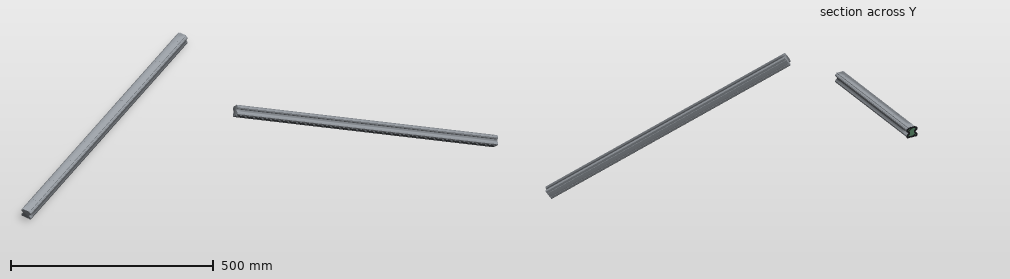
import cadquery as cq

RAIL_WIDTH = 28.0
RAIL_LENGTH = 710.0
RAIL_HEIGHT = 26.0

HALF_WIDTH = RAIL_WIDTH / 2
TOP_HALF_WIDTH = 9.3
NECK_HALF_WIDTH = 9.2
SHOULDER_Z = 24.5
LIP_TOP_Z = 21.2
LIP_BOTTOM_Z = 18.1
NECK_TOP_Z = 14.4
NECK_BOTTOM_Z = 10.2
FOOT_TOP_Z = 5.4
BASE_CHAMFER = 1.5

RACE_SAG = 0.6
RACE_LAND_WIDTH = 1.2
RACE_LAND_HEIGHT = 1.0

GROOVE_WIDTH = 2.0
GROOVE_DEPTH = 1.5
GROOVE_OFFSET = 6.4

SEAT_DIAMETER = 14.0
SEAT_DEPTH = 0.2
SEAT_PITCH = 80.0
SEAT_COUNT = 9


def rail_half():
    """Right half of the rail: the half cross-section extruded along Y, centred on the origin."""
    profile = (
        cq.Workplane("XZ")
        .lineTo(HALF_WIDTH - BASE_CHAMFER, 0)
        .lineTo(HALF_WIDTH, BASE_CHAMFER)
        .lineTo(HALF_WIDTH, FOOT_TOP_Z)
        .lineTo(NECK_HALF_WIDTH, NECK_BOTTOM_Z)
        .lineTo(NECK_HALF_WIDTH, NECK_TOP_Z)
        .lineTo(NECK_HALF_WIDTH + RACE_LAND_WIDTH, NECK_TOP_Z + RACE_LAND_HEIGHT)
        .sagittaArc((HALF_WIDTH - RACE_LAND_WIDTH, LIP_BOTTOM_Z - RACE_LAND_HEIGHT), -RACE_SAG)
        .lineTo(HALF_WIDTH, LIP_BOTTOM_Z)
        .lineTo(HALF_WIDTH, LIP_TOP_Z)
        .lineTo(HALF_WIDTH - RACE_LAND_WIDTH, LIP_TOP_Z + RACE_LAND_HEIGHT)
        .sagittaArc((TOP_HALF_WIDTH + RACE_LAND_WIDTH, SHOULDER_Z - RACE_LAND_HEIGHT), -RACE_SAG)
        .lineTo(TOP_HALF_WIDTH, SHOULDER_Z)
        .lineTo(TOP_HALF_WIDTH, RAIL_HEIGHT)
        .lineTo(0, RAIL_HEIGHT)
        .close()
    )
    return profile.extrude(RAIL_LENGTH / 2, both=True)


def rail_body():
    """The full rail, symmetric about the YZ plane."""
    right_half = rail_half()
    return right_half.union(right_half.mirror("YZ")).clean()


def underside_grooves():
    """Two full-length grooves, mirrored about the centre plane."""
    return (
        cq.Workplane("XY")
        .pushPoints([(-GROOVE_OFFSET, 0), (GROOVE_OFFSET, 0)])
        .rect(GROOVE_WIDTH, RAIL_LENGTH)
        .extrude(GROOVE_DEPTH)
    )


def top_seats():
    """Evenly spaced round seats, centred along the rail."""
    return (
        cq.Workplane("XY", origin=(0, 0, RAIL_HEIGHT))
        .rarray(1, SEAT_PITCH, 1, SEAT_COUNT)
        .circle(SEAT_DIAMETER / 2)
        .extrude(-SEAT_DEPTH)
    )


result = rail_body().cut(underside_grooves()).cut(top_seats())